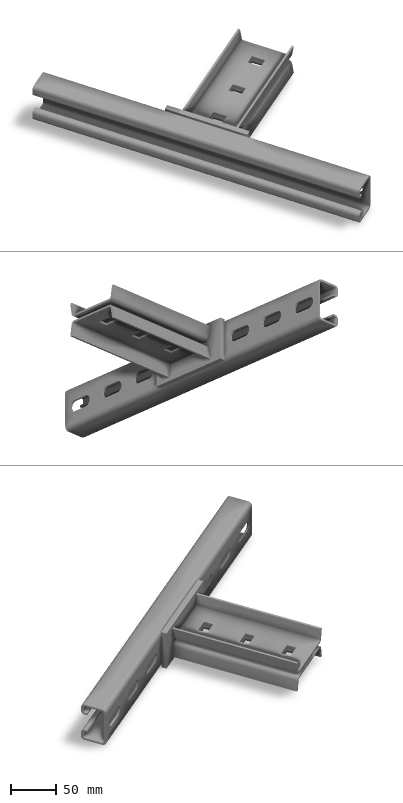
import cadquery as cq
import math


RAIL_LENGTH = 397.0
RAIL_HEIGHT = 50.0
RAIL_DEPTH = 30.0
RAIL_THICKNESS = 2.5
RAIL_BACK_RADIUS = 5.0
RAIL_FRONT_RADIUS = 4.0
LIP_HEIGHT = 14.0
LIP_RETURN = 7.0

HOLE_PITCH = 50.0
SLOT_COUNT = 8
SLOT_LENGTH = 29.8
SLOT_HEIGHT = 13.5

PLATE_WIDTH = 100.0
PLATE_THICKNESS = 6.5

ARM_CENTER_X = -1.5
ARM_LENGTH = 150.0
ARM_WIDTH = 68.0
ARM_HEIGHT = 40.0
ARM_GAP = 5.0
CHANNEL_THICKNESS = 2.5
CHANNEL_RADIUS = 4.8
FLARE_ANGLE = 9.0
ARM_HOLE_COUNT = 3
ARM_HOLE_WIDTH = 16.0
ARM_HOLE_LENGTH = 11.0

ARM_START_Y = RAIL_DEPTH + PLATE_THICKNESS


def rail_envelope(inset):
    """Rounded bar with the rail's section, set in from the outer faces by inset."""
    bar = (
        cq.Workplane("XY")
        .box(RAIL_LENGTH, RAIL_DEPTH - 2 * inset, RAIL_HEIGHT - 2 * inset)
        .translate((0, RAIL_DEPTH / 2, 0))
    )
    bar = bar.edges("|X and >Y").fillet(RAIL_BACK_RADIUS - inset)
    return bar.edges("|X and <Y").fillet(RAIL_FRONT_RADIUS - inset)


def lip_end():
    """Lower end of the upper lip: a bend followed by a short flat return into the rail."""
    lower_z = RAIL_HEIGHT / 2 - LIP_HEIGHT
    bend_z = lower_z + RAIL_FRONT_RADIUS
    inner_radius = RAIL_FRONT_RADIUS - RAIL_THICKNESS
    return (
        cq.Workplane("YZ", origin=(-RAIL_LENGTH / 2, 0, 0))
        .moveTo(0, bend_z)
        .radiusArc((RAIL_FRONT_RADIUS, lower_z), -RAIL_FRONT_RADIUS)
        .lineTo(LIP_RETURN, lower_z)
        .lineTo(LIP_RETURN, lower_z + RAIL_THICKNESS)
        .lineTo(RAIL_FRONT_RADIUS, lower_z + RAIL_THICKNESS)
        .radiusArc((RAIL_THICKNESS, bend_z), inner_radius)
        .close()
        .extrude(RAIL_LENGTH)
    )


def rail_slots():
    """Row of round-ended slots through the back wall."""
    return (
        cq.Workplane("XZ", origin=(0, RAIL_DEPTH, 0))
        .rarray(HOLE_PITCH, 4, SLOT_COUNT, 1)
        .slot2D(SLOT_LENGTH, SLOT_HEIGHT)
        .extrude(RAIL_THICKNESS)
    )


def make_rail():
    mouth_height = RAIL_HEIGHT - 2 * (LIP_HEIGHT - RAIL_FRONT_RADIUS)
    mouth = cq.Workplane("XY").box(RAIL_LENGTH, 2 * RAIL_THICKNESS, mouth_height)
    rail = rail_envelope(0).cut(rail_envelope(RAIL_THICKNESS)).cut(mouth)
    upper_lip_end = lip_end()
    rail = rail.union(upper_lip_end).union(upper_lip_end.mirror("XY"))
    return rail.cut(rail_slots())


def make_plate():
    center_y = RAIL_DEPTH + PLATE_THICKNESS / 2
    plate = cq.Workplane("XY").box(PLATE_WIDTH, PLATE_THICKNESS, RAIL_HEIGHT)
    return plate.translate((ARM_CENTER_X, center_y, 0))


def channel_trough(inset):
    """Trough with leaning walls and rounded floor corners, set in by inset.

    Its top corners lie on lines square to the walls, so the channel's wall ends are cut square.
    """
    flare = math.radians(FLARE_ANGLE)
    floor_z = ARM_GAP / 2 + inset
    top_z = ARM_HEIGHT / 2 + inset * math.sin(flare)
    top_half = ARM_WIDTH / 2 - inset * math.cos(flare)
    floor_half = top_half - (top_z - floor_z) * math.tan(flare)
    trough = (
        cq.Workplane("XZ", origin=(ARM_CENTER_X, ARM_START_Y, 0))
        .polyline([(-top_half, top_z), (-floor_half, floor_z), (floor_half, floor_z), (top_half, top_z)])
        .close()
        .extrude(-ARM_LENGTH)
    )
    return trough.edges("|Y and <Z").fillet(CHANNEL_RADIUS - inset)


def arm_holes():
    """Row of rectangular holes through the upper channel's web."""
    return (
        cq.Workplane("XY", origin=(ARM_CENTER_X, ARM_START_Y + ARM_LENGTH / 2, ARM_GAP / 2))
        .rarray(4, HOLE_PITCH, 1, ARM_HOLE_COUNT)
        .rect(ARM_HOLE_WIDTH, ARM_HOLE_LENGTH)
        .extrude(CHANNEL_THICKNESS)
    )


def make_channel(turn):
    """Arm channel, opening upward and then turned by turn degrees about the arm's axis."""
    channel = channel_trough(0).cut(channel_trough(CHANNEL_THICKNESS)).cut(arm_holes())
    return channel.rotate((ARM_CENTER_X, 0, 0), (ARM_CENTER_X, 1, 0), turn)


rail = make_rail()
plate = make_plate()
channels = [make_channel(turn) for turn in (0, 180)]

result = cq.Compound.makeCompound([
    rail.val(),
    plate.val(),
    *[channel.val() for channel in channels],
])